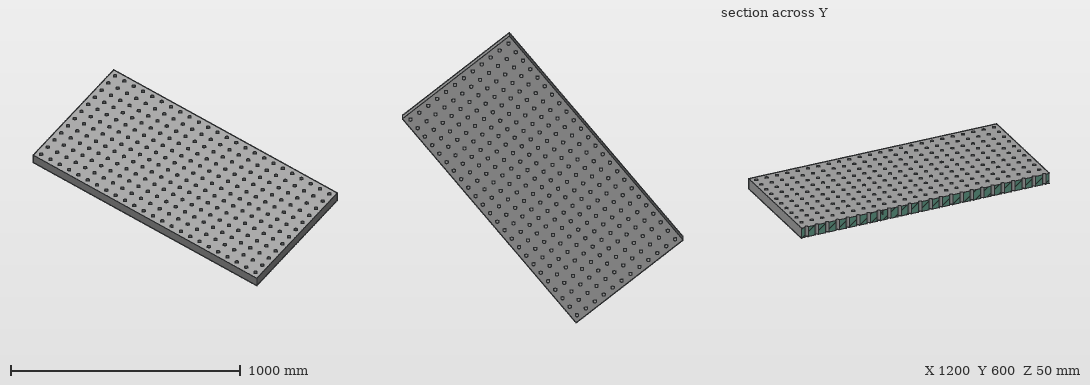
import cadquery as cq

length = 1200.0
width = 600.0
thickness = 50.0

columns = 24
pitch = length / columns
rows = round(width / pitch)
hole_diameter = 15.0

plate = cq.Workplane("XY").box(length, width, thickness, centered=(True, True, False))

result = (
    plate.faces(">Z")
    .workplane()
    .rarray(pitch, pitch, columns, rows)
    .hole(hole_diameter)
)